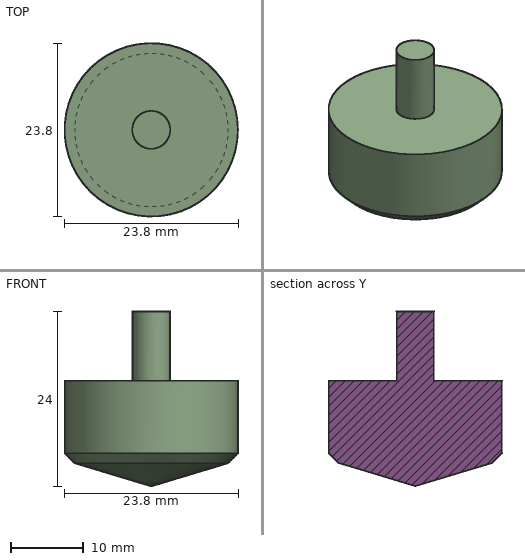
import cadquery as cq

total_height = 24.0
body_diameter = 23.81
pin_diameter = 5.2
pin_length = 9.5
chamfer_size = 1.38
cone_height = 3.17

body_radius = body_diameter / 2
pin_radius = pin_diameter / 2
cone_radius = body_radius - chamfer_size
body_bottom = cone_height + chamfer_size
body_top = total_height - pin_length


def turned_part():
    """Revolve the half profile (radius, height) around the Z axis."""
    profile = (
        cq.Workplane("XZ")
        .moveTo(0, 0)
        .lineTo(cone_radius, cone_height)
        .lineTo(body_radius, body_bottom)
        .lineTo(body_radius, body_top)
        .lineTo(pin_radius, body_top)
        .lineTo(pin_radius, total_height)
        .lineTo(0, total_height)
        .close()
    )
    return profile.revolve(360, (0, 0, 0), (0, 1, 0))


result = turned_part()